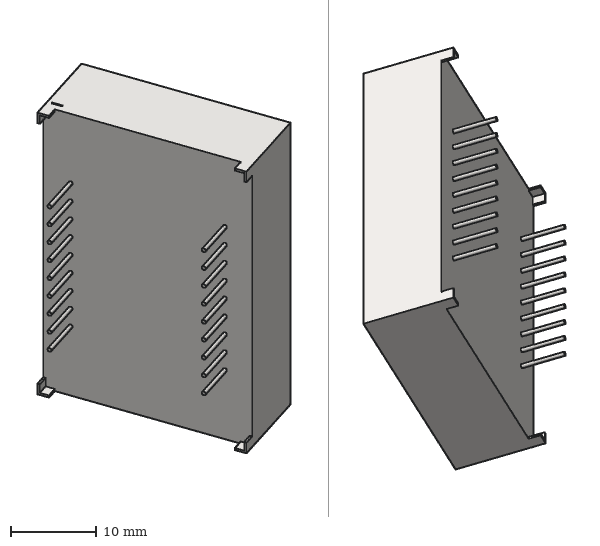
import cadquery as cq

body_width = 27.5
body_height = 40.0
body_depth = 10.0

foot_leg = 1.5
foot_wall = 0.3
foot_length = 1.5

pins_per_row = 9
row_spacing = 20.3
row_length = row_spacing
pin_pitch = row_length / (pins_per_row - 1)
pin_diameter = 0.5
pin_length = 5.5

slit_length = 1.35
slit_width = 0.1
slit_depth = 0.1
slit_side_offset = 0.6
slit_front_offset = 1.05


def make_body():
    """Housing block with its pin face on the plane Y = 0."""
    return cq.Workplane("XY").box(
        body_width, body_depth, body_height, centered=(True, False, True)
    )


def make_foot(side_x, side_z):
    """L-shaped foot in the corner given by the signs of X and Z."""
    corner_x = side_x * body_width / 2
    corner_z = side_z * body_height / 2
    inner_x = corner_x - side_x * foot_wall
    inner_z = corner_z - side_z * foot_wall
    end_x = corner_x - side_x * foot_leg
    end_z = corner_z - side_z * foot_leg
    return (
        cq.Workplane("XZ")
        .moveTo(corner_x, corner_z)
        .lineTo(end_x, corner_z)
        .lineTo(end_x, inner_z)
        .lineTo(inner_x, inner_z)
        .lineTo(inner_x, end_z)
        .lineTo(corner_x, end_z)
        .close()
        .extrude(foot_length)
    )


def make_pins():
    """Both rows of pins, standing out from the pin face toward -Y."""
    return (
        cq.Workplane("XZ")
        .rarray(row_spacing, pin_pitch, 2, pins_per_row)
        .circle(pin_diameter / 2)
        .extrude(pin_length)
    )


def make_slit():
    """Cutter for the shallow slit in the upper side."""
    return (
        cq.Workplane("XY")
        .box(slit_length, slit_width, slit_depth, centered=False)
        .translate((
            slit_side_offset - body_width / 2,
            slit_front_offset,
            body_height / 2 - slit_depth,
        ))
    )


result = make_body().union(make_pins())
for side_x in (-1, 1):
    for side_z in (-1, 1):
        result = result.union(make_foot(side_x, side_z))
result = result.cut(make_slit())